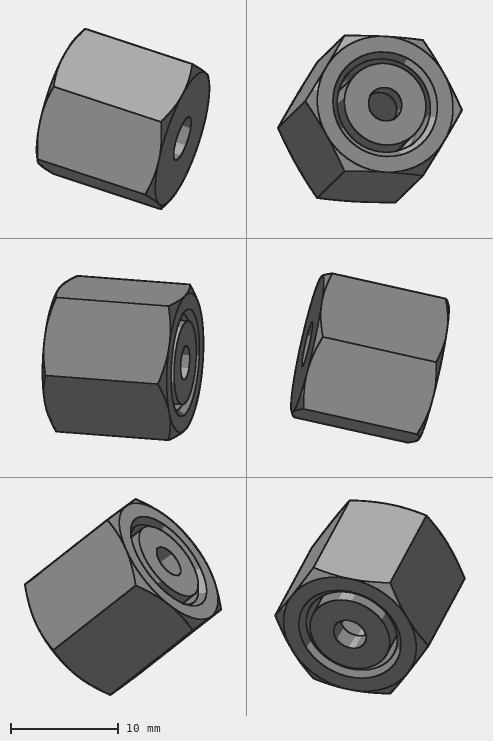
import cadquery as cq
import math

length = 12.0
across_flats = 13.0
across_corners = across_flats / math.cos(math.radians(30))
corner_chamfer_angle = 30

groove_mouth_radius = 5.0
groove_outer_radius = 4.46
groove_inner_radius = 3.9
groove_depth = 6.0
groove_floor_width = 0.06
groove_fillet = groove_outer_radius - groove_inner_radius - groove_floor_width
mouth_chamfer_depth = groove_mouth_radius - groove_outer_radius

hole_radius = 1.59
hole_length = 2.0
rear_bore_radius = 2.1


def revolve_about_x(profile):
    return profile.close().revolve(360, (0, 0, 0), (1, 0, 0))


def make_hex_body():
    hexagon = cq.Workplane("YZ").polygon(6, across_corners).extrude(length)
    face_radius = across_flats / 2
    corner_radius = across_corners / 2
    chamfer_depth = (corner_radius - face_radius) * math.tan(math.radians(corner_chamfer_angle))
    envelope = revolve_about_x(
        cq.Workplane("XY")
        .moveTo(0, 0)
        .lineTo(0, face_radius)
        .lineTo(chamfer_depth, corner_radius)
        .lineTo(length - chamfer_depth, corner_radius)
        .lineTo(length, face_radius)
        .lineTo(length, 0)
    )
    return hexagon.intersect(envelope)


def make_groove():
    diagonal = groove_fillet * math.sqrt(0.5)
    arc_center_x = groove_depth - groove_fillet
    arc_center_radius = groove_outer_radius - groove_fillet
    return revolve_about_x(
        cq.Workplane("XY")
        .moveTo(0, groove_inner_radius)
        .lineTo(0, groove_mouth_radius)
        .lineTo(mouth_chamfer_depth, groove_outer_radius)
        .lineTo(arc_center_x, groove_outer_radius)
        .threePointArc(
            (arc_center_x + diagonal, arc_center_radius + diagonal),
            (groove_depth, arc_center_radius),
        )
        .lineTo(groove_depth, groove_inner_radius)
    )


def make_bore():
    hole = cq.Workplane("YZ").circle(hole_radius).extrude(length)
    rear_plane = cq.Workplane("YZ", origin=(hole_length, 0, 0))
    rear_bore = rear_plane.circle(rear_bore_radius).extrude(length - hole_length)
    return hole.union(rear_bore)


result = make_hex_body().cut(make_groove()).cut(make_bore())